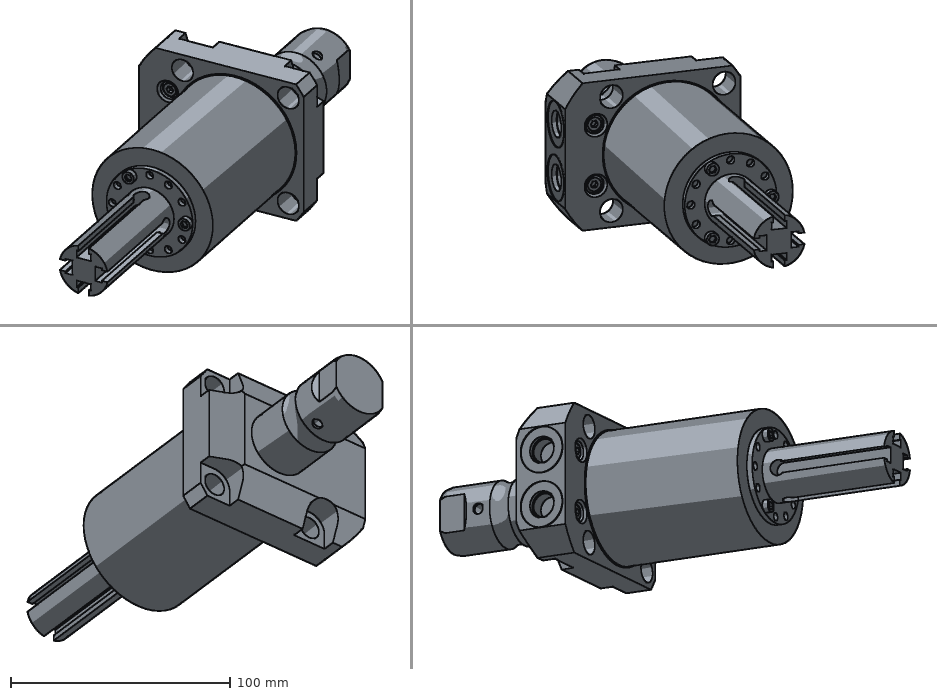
import cadquery as cq
import math


SHAFT_END_Y = -145.0
RING_FRONT_Y = -82.0
BARREL_FRONT_Y = -79.2
COLLAR_FRONT_Y = -0.5
FLANGE_BACK_Y = 25.5
GROOVE_START_Y = 48.3
GROOVE_END_Y = 58.0
FLAT_START_Y = 72.5
NECK_END_Y = 85.2

SHAFT_RADIUS = 12.7
RING_RADIUS = 22.3
BARREL_RADIUS = 31.3
COLLAR_RADIUS = 31.8
NECK_RADIUS = 15.9

GROOVE_DEPTH = 1.5
NECK_CHAMFER_LENGTH = 2.8
NECK_CHAMFER_DEPTH = 0.7
FLAT_HALF_WIDTH = 13.3
NECK_HOLE_COUNT = 3
NECK_HOLE_Y = 64.0
NECK_HOLE_RADIUS = 2.5
NECK_HOLE_DEPTH = 1.5

FLANGE_LEFT = -50.0
FLANGE_RIGHT = 35.5
FLANGE_HALF_HEIGHT = 35.5
LEFT_CORNER_RADIUS = 55.2
LEFT_CORNER_WIDTH = 8.5
LEFT_CORNER_HEIGHT = 11.5
RIGHT_CORNER_WIDTH = 4.0
RIGHT_CORNER_HEIGHT = 5.5
BEVEL_LENGTH = 6.5
BEVEL_WIDTH = 15.7

MOUNT_OFFSET = 27.5
MOUNT_HOLE_RADIUS = 5.5
COUNTERBORE_RADIUS = 8.7
COUNTERBORE_FLOOR_Y = 13.0

PORT_Y = 12.5
PORT_Z = 13.0
PORT_RADIUS = 5.5
PORT_ENTRY_RADIUS = 6.2
PORT_ENTRY_DEPTH = 2.3
PORT_DEPTH = 9.2
SPOTFACE_RADIUS = 10.8
SPOTFACE_DEPTH = 0.5

PLUG_X = -35.0
PLUG_Z = 14.5
PLUG_RADIUS = 4.4
PLUG_LENGTH = 7.0
PLUG_RECESS = 1.8
PLUG_CHAMFER = 1.2
PLUG_MOUTH_CHAMFER = 1.2
PLUG_SOCKET_SIZE = 3.5
PLUG_SOCKET_DEPTH = 2.3

RING_HOLE_COUNT = 12
RING_HOLE_RADIUS = 1.8
RING_CIRCLE_RADIUS = 19.3
SCREW_EVERY = 4
SCREW_HEAD_RADIUS = 3.0
SCREW_HEAD_HEIGHT = 2.8
SCREW_SOCKET_SIZE = 3.7
SCREW_SOCKET_DEPTH = 1.4

T_SLOT_COUNT = 4
T_SLOT_MOUTH_WIDTH = 5.5
T_SLOT_INNER_WIDTH = 7.4
T_SLOT_FLOOR = 6.0
T_SLOT_STEP = 9.5
T_SLOT_ENTRY_Y = -89.8


def y_cylinder(radius, y_start, y_end, x=0, z=0):
    """Cylinder parallel to Y between two Y positions."""
    return cq.Workplane(cq.Solid.makeCylinder(
        radius, y_end - y_start, cq.Vector(x, y_start, z), cq.Vector(0, 1, 0)
    ))


def y_hexagon(across_corners, y_start, y_end, x, z):
    """Hexagonal prism parallel to Y between two Y positions."""
    return (
        cq.Workplane("XZ", origin=(x, y_start, z))
        .polygon(6, across_corners)
        .extrude(y_start - y_end)
    )


def box_between(x_range, y_range, z_range):
    """Box given by its two limits along each axis."""
    sizes = [high - low for low, high in (x_range, y_range, z_range)]
    corner = cq.Vector(x_range[0], y_range[0], z_range[0])
    return cq.Workplane(cq.Solid.makeBox(*sizes, corner))


def turn_about_y(shape, angle):
    return shape.rotate((0, 0, 0), (0, 1, 0), angle)


def make_turned_core():
    """Shaft, ring, barrel with its root collar, and grooved neck as one revolved profile."""
    groove_middle = (NECK_RADIUS - GROOVE_DEPTH, (GROOVE_START_Y + GROOVE_END_Y) / 2)
    return (
        cq.Workplane("XY")
        .moveTo(0, SHAFT_END_Y)
        .lineTo(SHAFT_RADIUS, SHAFT_END_Y)
        .lineTo(SHAFT_RADIUS, RING_FRONT_Y)
        .lineTo(RING_RADIUS, RING_FRONT_Y)
        .lineTo(RING_RADIUS, BARREL_FRONT_Y)
        .lineTo(BARREL_RADIUS, BARREL_FRONT_Y)
        .lineTo(BARREL_RADIUS, COLLAR_FRONT_Y)
        .lineTo(COLLAR_RADIUS, COLLAR_FRONT_Y)
        .lineTo(COLLAR_RADIUS, 0)
        .lineTo(NECK_RADIUS, 0)
        .lineTo(NECK_RADIUS, GROOVE_START_Y)
        .threePointArc(groove_middle, (NECK_RADIUS, GROOVE_END_Y))
        .lineTo(NECK_RADIUS, NECK_END_Y - NECK_CHAMFER_LENGTH)
        .lineTo(NECK_RADIUS - NECK_CHAMFER_DEPTH, NECK_END_Y)
        .lineTo(0, NECK_END_Y)
        .close()
        .revolve(360, (0, 0, 0), (0, 1, 0))
    )


def make_flange_plate():
    """Plate with two rounded and two cut corners and three bevelled back edges."""
    left_x = FLANGE_LEFT + LEFT_CORNER_WIDTH
    left_z = FLANGE_HALF_HEIGHT - LEFT_CORNER_HEIGHT
    right_x = FLANGE_RIGHT - RIGHT_CORNER_WIDTH
    right_z = FLANGE_HALF_HEIGHT - RIGHT_CORNER_HEIGHT
    plate = (
        cq.Workplane("XZ")
        .moveTo(FLANGE_LEFT, -left_z)
        .lineTo(FLANGE_LEFT, left_z)
        .radiusArc((left_x, FLANGE_HALF_HEIGHT), LEFT_CORNER_RADIUS)
        .lineTo(right_x, FLANGE_HALF_HEIGHT)
        .lineTo(FLANGE_RIGHT, right_z)
        .lineTo(FLANGE_RIGHT, -right_z)
        .lineTo(right_x, -FLANGE_HALF_HEIGHT)
        .lineTo(left_x, -FLANGE_HALF_HEIGHT)
        .radiusArc((FLANGE_LEFT, -left_z), LEFT_CORNER_RADIUS)
        .close()
        .extrude(-FLANGE_BACK_Y)
    )

    bevel_start_y = FLANGE_BACK_Y - BEVEL_LENGTH
    top_bevel = (
        cq.Workplane("YZ", origin=(FLANGE_LEFT, 0, 0))
        .moveTo(FLANGE_BACK_Y, FLANGE_HALF_HEIGHT)
        .lineTo(bevel_start_y, FLANGE_HALF_HEIGHT)
        .lineTo(FLANGE_BACK_Y, FLANGE_HALF_HEIGHT - BEVEL_WIDTH)
        .close()
        .extrude(FLANGE_RIGHT - FLANGE_LEFT)
    )
    right_bevel = (
        cq.Workplane("XY", origin=(0, 0, -FLANGE_HALF_HEIGHT))
        .moveTo(FLANGE_RIGHT, FLANGE_BACK_Y)
        .lineTo(FLANGE_RIGHT, bevel_start_y)
        .lineTo(FLANGE_RIGHT - BEVEL_WIDTH, FLANGE_BACK_Y)
        .close()
        .extrude(2 * FLANGE_HALF_HEIGHT)
    )
    return plate.cut(top_bevel).cut(top_bevel.mirror("XY")).cut(right_bevel)


def make_upper_mount_cuts():
    """Upper pair of mounting holes; their counterbores open to the flange edges."""
    floor_to_back = (COUNTERBORE_FLOOR_Y, FLANGE_BACK_Y)
    open_top = (MOUNT_OFFSET, FLANGE_HALF_HEIGHT)
    cuts = cq.Workplane()
    for x in (-MOUNT_OFFSET, MOUNT_OFFSET):
        slot_x = (x - COUNTERBORE_RADIUS, x + COUNTERBORE_RADIUS)
        cuts = cuts.add(y_cylinder(MOUNT_HOLE_RADIUS, 0, FLANGE_BACK_Y, x, MOUNT_OFFSET))
        cuts = cuts.add(y_cylinder(COUNTERBORE_RADIUS, *floor_to_back, x, MOUNT_OFFSET))
        cuts = cuts.add(box_between(slot_x, floor_to_back, open_top))
    side_slot_z = (MOUNT_OFFSET - COUNTERBORE_RADIUS, FLANGE_HALF_HEIGHT)
    cuts = cuts.add(box_between((MOUNT_OFFSET, FLANGE_RIGHT), floor_to_back, side_slot_z))
    return cuts.combine()


def make_port_cut(z):
    """Blind port in the left face with a spotface and a wider entry."""
    inward = cq.Vector(1, 0, 0)
    spotface = cq.Solid.makeCylinder(
        SPOTFACE_RADIUS, SPOTFACE_DEPTH, cq.Vector(FLANGE_LEFT, PORT_Y, z), inward
    )
    mouth = cq.Vector(FLANGE_LEFT + SPOTFACE_DEPTH, PORT_Y, z)
    bore = cq.Solid.makeCylinder(PORT_RADIUS, PORT_DEPTH, mouth, inward)
    entry = cq.Solid.makeCylinder(PORT_ENTRY_RADIUS, PORT_ENTRY_DEPTH, mouth, inward)
    return cq.Workplane(spotface.fuse(entry, bore))


def make_plug_hole(z):
    """Blind hole for a plug, with a chamfered mouth in the flange front face."""
    bore = y_cylinder(PLUG_RADIUS, 0, PLUG_RECESS + PLUG_LENGTH, PLUG_X, z)
    mouth = cq.Solid.makeCone(
        PLUG_RADIUS + PLUG_MOUTH_CHAMFER, PLUG_RADIUS, PLUG_MOUTH_CHAMFER,
        cq.Vector(PLUG_X, 0, z), cq.Vector(0, 1, 0),
    )
    return bore.union(cq.Workplane(mouth))


def make_plug(z):
    """Recessed plug with a chamfered head and a hexagon socket."""
    body = y_cylinder(PLUG_RADIUS, PLUG_RECESS, PLUG_RECESS + PLUG_LENGTH, PLUG_X, z)
    body = body.faces("<Y").chamfer(PLUG_CHAMFER)
    socket_end = PLUG_RECESS + PLUG_SOCKET_DEPTH
    return body.cut(y_hexagon(PLUG_SOCKET_SIZE, PLUG_RECESS, socket_end, PLUG_X, z))


def cut_neck_details(body):
    """Two wrench flats with 45 degree run-outs and three radial holes with conical ends."""
    flat_depth = NECK_RADIUS - FLAT_HALF_WIDTH
    flat = (
        cq.Workplane("XY", origin=(0, 0, -NECK_RADIUS))
        .moveTo(FLAT_HALF_WIDTH, NECK_END_Y)
        .lineTo(FLAT_HALF_WIDTH, FLAT_START_Y)
        .lineTo(NECK_RADIUS, FLAT_START_Y - flat_depth)
        .lineTo(NECK_RADIUS, NECK_END_Y)
        .close()
        .extrude(2 * NECK_RADIUS)
    )
    body = body.cut(flat).cut(flat.mirror("YZ"))
    inward = cq.Vector(1, 0, 0)
    bore = cq.Solid.makeCylinder(
        NECK_HOLE_RADIUS, NECK_HOLE_DEPTH, cq.Vector(-NECK_RADIUS, NECK_HOLE_Y, 0), inward
    )
    cone_start = cq.Vector(NECK_HOLE_DEPTH - NECK_RADIUS, NECK_HOLE_Y, 0)
    cone = cq.Solid.makeCone(NECK_HOLE_RADIUS, 0, NECK_HOLE_RADIUS, cone_start, inward)
    hole = cq.Workplane(bore.fuse(cone))
    for index in range(NECK_HOLE_COUNT):
        body = body.cut(turn_about_y(hole, index * 360 / NECK_HOLE_COUNT))
    return body


def add_ring_details(body):
    """Circle of holes in the ring, every fourth one filled by a socket head screw."""
    for index in range(RING_HOLE_COUNT):
        angle = index * 2 * math.pi / RING_HOLE_COUNT
        x = RING_CIRCLE_RADIUS * math.cos(angle)
        z = RING_CIRCLE_RADIUS * math.sin(angle)
        if index % SCREW_EVERY == 0:
            head_top = RING_FRONT_Y - SCREW_HEAD_HEIGHT
            socket_end = head_top + SCREW_SOCKET_DEPTH
            body = body.union(y_cylinder(SCREW_HEAD_RADIUS, head_top, RING_FRONT_Y, x, z))
            body = body.cut(y_hexagon(SCREW_SOCKET_SIZE, head_top, socket_end, x, z))
        else:
            body = body.cut(y_cylinder(RING_HOLE_RADIUS, RING_FRONT_Y, BARREL_FRONT_Y, x, z))
    return body


def cut_t_slots(body):
    """Four T-slots, each running from a round entry to the shaft end."""
    length_range = (SHAFT_END_Y, T_SLOT_ENTRY_Y)
    half_mouth = T_SLOT_MOUTH_WIDTH / 2
    half_inner = T_SLOT_INNER_WIDTH / 2
    mouth = box_between((-half_mouth, half_mouth), length_range, (T_SLOT_FLOOR, SHAFT_RADIUS))
    inner = box_between((-half_inner, half_inner), length_range, (T_SLOT_FLOOR, T_SLOT_STEP))
    entry = cq.Workplane(cq.Solid.makeCylinder(
        half_inner, SHAFT_RADIUS - T_SLOT_FLOOR, cq.Vector(0, T_SLOT_ENTRY_Y, T_SLOT_FLOOR)
    ))
    slot = mouth.union(inner).union(entry)
    for index in range(T_SLOT_COUNT):
        body = body.cut(turn_about_y(slot, index * 360 / T_SLOT_COUNT))
    return body


def make_housing():
    mount_cuts = make_upper_mount_cuts()
    body = make_flange_plate().cut(mount_cuts).cut(mount_cuts.mirror("XY"))
    body = body.union(make_turned_core())
    for side in (-1, 1):
        body = body.cut(make_port_cut(side * PORT_Z))
        body = body.cut(make_plug_hole(side * PLUG_Z))
    body = cut_neck_details(body)
    body = add_ring_details(body)
    return cut_t_slots(body)


housing = make_housing()
plugs = [make_plug(side * PLUG_Z) for side in (-1, 1)]

result = cq.Compound.makeCompound([housing.val(), *(plug.val() for plug in plugs)])